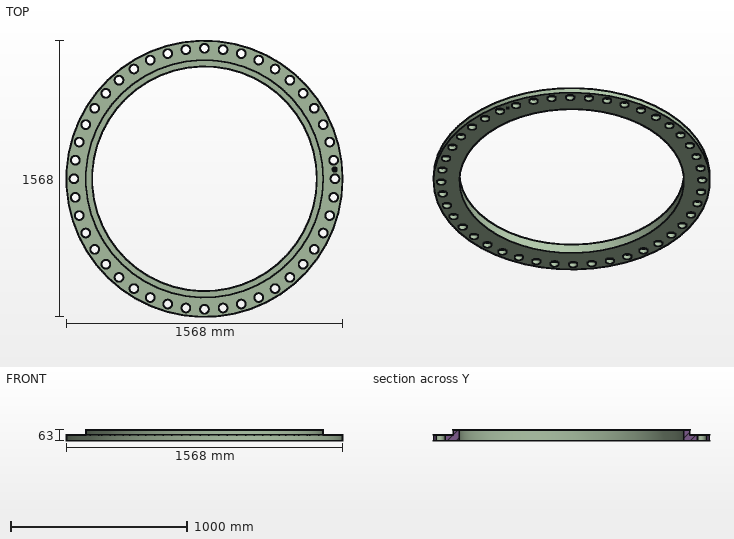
import cadquery as cq

outer_diameter = 1568.0
bore_diameter = 1273.0
total_height = 63.0
plate_thickness = 35.0

collar_diameter = 1347.0

bolt_count = 44
bolt_circle_diameter = 1480.0
bolt_hole_diameter = 49.0

small_hole_diameter = 13.0
small_counterbore_diameter = 2 * small_hole_diameter
small_counterbore_depth = 6.0
small_hole_angle = 360 / bolt_count / 2


def cylinder(diameter, height):
    """Upright cylinder standing on Z = 0 at the ring centre."""
    return cq.Workplane("XY").circle(diameter / 2).extrude(height)


def on_bolt_circle(first_angle, count):
    """Plate top plane with evenly spaced points on the bolt circle."""
    return (
        cq.Workplane("XY")
        .workplane(offset=plate_thickness)
        .polarArray(bolt_circle_diameter / 2, first_angle, 360, count)
    )


def drilled_holes(first_angle, count, diameter, depth):
    """Cutting cylinders sunk into the plate from its top face."""
    return on_bolt_circle(first_angle, count).circle(diameter / 2).extrude(-depth)


plate = cylinder(outer_diameter, plate_thickness)
collar = cylinder(collar_diameter, total_height)
bore = cylinder(bore_diameter, total_height)
ring = plate.union(collar).cut(bore)

bolt_holes = drilled_holes(0, bolt_count, bolt_hole_diameter, plate_thickness)
small_hole = drilled_holes(small_hole_angle, 1, small_hole_diameter, plate_thickness)
small_counterbore = drilled_holes(
    small_hole_angle, 1, small_counterbore_diameter, small_counterbore_depth
)

result = ring.cut(bolt_holes).cut(small_hole).cut(small_counterbore)